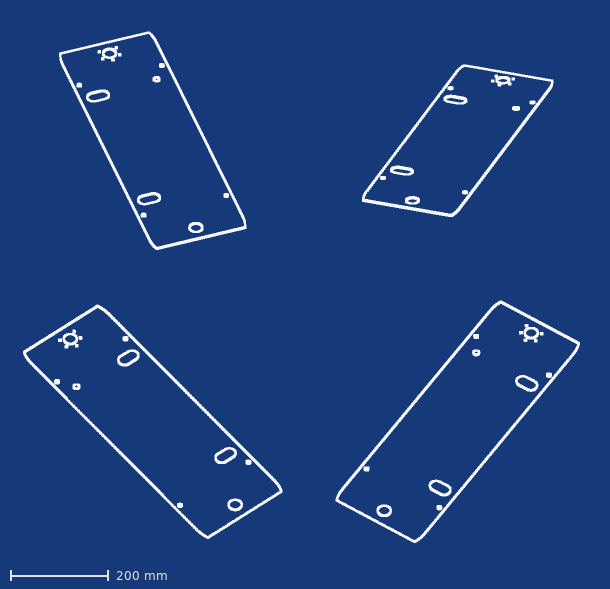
import cadquery as cq
import math

length = 608
width = 203.0
thickness = 3.0

corner_length = 29.0
corner_drop = 5.5
corner_radius = (corner_length**2 + corner_drop**2) / (2 * corner_drop)

mount_diameter = 8.0
mount_x = 203.0
mount_y = 89.5

cable_diameter = 12
cable_x = -168.5
cable_y = 66.0

end_diameter = 27.0
end_x = 272.5

pin_diameter = 3.5
pin_circle_radius = 21.0
pin_places = 6
empty_place = pin_places // 2

slot_width = 26.0
slot_length = 45.5
slot_x = 160.5
slot_y = -63.0


def make_plate():
    half_length = length / 2
    half_width = width / 2
    straight_x = half_length - corner_length
    side_y = half_width - corner_drop
    return (
        cq.Workplane("XY")
        .moveTo(-straight_x, -half_width)
        .lineTo(straight_x, -half_width)
        .radiusArc((half_length, -side_y), -corner_radius)
        .lineTo(half_length, side_y)
        .radiusArc((straight_x, half_width), -corner_radius)
        .lineTo(-straight_x, half_width)
        .radiusArc((-half_length, side_y), -corner_radius)
        .lineTo(-half_length, -side_y)
        .radiusArc((-straight_x, -half_width), -corner_radius)
        .close()
        .extrude(thickness)
    )


def round_cutter(points, diameter):
    return cq.Workplane("XY").pushPoints(points).circle(diameter / 2).extrude(thickness)


def slot_cutter(points):
    return cq.Workplane("XY").pushPoints(points).slot2D(slot_length, slot_width, 90).extrude(thickness)


def pin_points():
    points = []
    for place in range(pin_places):
        if place == empty_place:
            continue
        angle = 2 * math.pi * place / pin_places
        x = -end_x + pin_circle_radius * math.cos(angle)
        y = pin_circle_radius * math.sin(angle)
        points.append((x, y))
    return points


mount_points = [(x, y) for x in (-mount_x, mount_x) for y in (-mount_y, mount_y)]

result = make_plate()
result = result.cut(round_cutter(mount_points, mount_diameter))
result = result.cut(round_cutter([(cable_x, cable_y)], cable_diameter))
result = result.cut(round_cutter([(-end_x, 0), (end_x, 0)], end_diameter))
result = result.cut(round_cutter(pin_points(), pin_diameter))
result = result.cut(slot_cutter([(-slot_x, slot_y), (slot_x, slot_y)]))